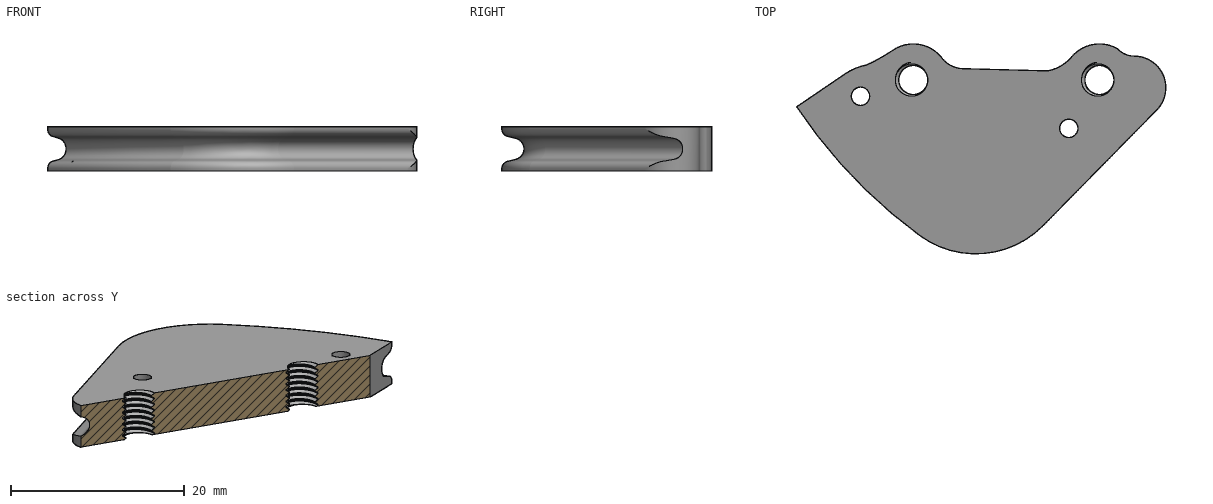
import cadquery as cq
import math

length = 42.5
depth = 24.18
thickness = 5.1

bottom_radius = 10.88
bottom_center = (20.6, bottom_radius)
left_radius = 58.65
left_join_angle = 233.8
nose_radius = 3.65
nose_center = (length - nose_radius, 19.1)

lug_radius = 4.15
lug_y = depth - lug_radius
left_lug = (13.43, lug_y)
right_lug = (34.85, lug_y)
left_lug_start = 40.0
left_lug_end = 124.0
right_lug_start = 60.0
right_lug_end = 140.0
shoulder_start = (5.65, 20.78)
shoulder_middle = (6.9, 21.4)
shoulder_end = (8.07, 21.75)
back_left = (19.1, 21.35)
back_right = (28.9, 21.08)

groove_depth = 2.55
groove_radius = 1.25
lip_land = 0.25
lip_radius = 0.9
wall_slope = 13.0
overrun = 4.25

pin_diameter = 2.1
pin_centers = [(7.35, 18.15), (31.3, 14.45)]
thread_minor = 3.3
thread_major = 4.12
thread_pitch = 0.7
thread_mouth = 0.6
thread_tip = 0.1
thread_start_angle = 180.0


def polar(center, radius, degrees):
    angle = math.radians(degrees)
    return (center[0] + radius * math.cos(angle), center[1] + radius * math.sin(angle))


run_x = nose_center[0] - bottom_center[0]
run_y = nose_center[1] - bottom_center[1]
run_angle = math.degrees(
    math.atan2(run_y, run_x) + math.asin((bottom_radius - nose_radius) / math.hypot(run_x, run_y))
)
normal_angle = run_angle - 90
bottom_end = polar(bottom_center, bottom_radius, normal_angle)
nose_start = polar(nose_center, nose_radius, normal_angle)

left_join = polar(bottom_center, bottom_radius, left_join_angle)
left_center = polar(left_join, left_radius, left_join_angle - 180)
left_tip_angle = 360 - math.degrees(math.acos(-left_center[0] / left_radius))
left_sweep = left_join_angle - left_tip_angle
left_tip = polar(left_center, left_radius, left_tip_angle)
left_middle = polar(left_center, left_radius, left_join_angle - left_sweep / 2)
bottom_middle = (bottom_center[0], 0)


def make_plate():
    return (
        cq.Workplane("XY")
        .moveTo(*left_tip)
        .threePointArc(left_middle, left_join)
        .threePointArc(bottom_middle, bottom_end)
        .lineTo(*nose_start)
        .threePointArc(polar(nose_center, nose_radius, 0), polar(nose_center, nose_radius, 90))
        .tangentArcPoint(polar(right_lug, lug_radius, right_lug_start), relative=False)
        .threePointArc(polar(right_lug, lug_radius, 90), polar(right_lug, lug_radius, right_lug_end))
        .tangentArcPoint(back_right, relative=False)
        .lineTo(*back_left)
        .tangentArcPoint(polar(left_lug, lug_radius, left_lug_start), relative=False)
        .threePointArc(polar(left_lug, lug_radius, 90), polar(left_lug, lug_radius, left_lug_end))
        .tangentArcPoint(shoulder_end, relative=False)
        .threePointArc(shoulder_middle, shoulder_start)
        .close()
        .extrude(thickness)
    )


def groove_section(plane):
    """Groove outline on a plane whose x axis points out of the rim and y axis along Z."""
    lip_edge = thickness / 2 - lip_land
    lip_center = (-lip_radius, lip_edge)
    lip_middle = polar(lip_center, lip_radius, (wall_slope - 90) / 2)
    lip_end = polar(lip_center, lip_radius, wall_slope - 90)
    groove_center = (groove_radius - groove_depth, 0)
    wall_end = polar(groove_center, groove_radius, 90 + wall_slope)

    def mirrored(point):
        return (point[0], -point[1])

    return (
        cq.Workplane(plane)
        .moveTo(overrun, lip_edge)
        .lineTo(0, lip_edge)
        .threePointArc(lip_middle, lip_end)
        .lineTo(*wall_end)
        .threePointArc((-groove_depth, 0), mirrored(wall_end))
        .lineTo(*mirrored(lip_end))
        .threePointArc(mirrored(lip_middle), (0, -lip_edge))
        .lineTo(overrun, -lip_edge)
        .close()
    )


def rim_plane(point, degrees):
    outward = polar((0, 0), 1, degrees)
    along = (outward[1], -outward[0], 0)
    return cq.Plane((point[0], point[1], thickness / 2), (outward[0], outward[1], 0), along)


def groove_around(point, degrees, radius, sweep):
    """Groove tool turned counterclockwise about the arc center, starting at point."""
    section = groove_section(rim_plane(point, degrees))
    return section.revolve(sweep, (-radius, 0), (-radius, 1))


def make_groove():
    end_margin = 2.0
    start_angle = left_tip_angle - end_margin
    start = polar(left_center, left_radius, start_angle)
    left = groove_around(start, start_angle, left_radius, left_sweep + end_margin)
    bottom_sweep = normal_angle + 360 - left_join_angle
    bottom = groove_around(left_join, left_join_angle, bottom_radius, bottom_sweep)
    run_length = math.dist(bottom_end, nose_start) + overrun
    run = groove_section(rim_plane(bottom_end, normal_angle)).extrude(-run_length)
    return [left, bottom, run]


def make_threaded_hole():
    """Tapped-hole tool about the Z axis, closed by helicoids beyond both plate faces."""
    minor = thread_minor / 2
    major = thread_major / 2
    mouth_half = thread_mouth / 2
    tip_half = thread_tip / 2
    corners = [
        (minor, -mouth_half),
        (major, -tip_half),
        (major, tip_half),
        (minor, mouth_half),
        (minor, thread_pitch - mouth_half),
    ]

    def helix_turn(radius, height):
        wire = cq.Wire.makeHelix(thread_pitch, thread_pitch, radius, center=cq.Vector(0, 0, height))
        return wire.Edges()[0]

    turns_to_top = math.floor(thickness / thread_pitch) + 2
    lowest = thickness - turns_to_top * thread_pitch
    turn_count = turns_to_top + 1
    highest = lowest + turn_count * thread_pitch

    faces = []
    for turn in range(turn_count):
        base = lowest + turn * thread_pitch
        for lower, upper in zip(corners, corners[1:]):
            faces.append(cq.Face.makeRuledSurface(
                helix_turn(lower[0], base + lower[1]),
                helix_turn(upper[0], base + upper[1]),
            ))
    for end in (lowest, highest):
        mouth_height = end - mouth_half
        axis_start = cq.Vector(0, 0, mouth_height)
        axis_end = cq.Vector(0, 0, mouth_height + thread_pitch)
        axis = cq.Edge.makeLine(axis_start, axis_end)
        faces.append(cq.Face.makeRuledSurface(axis, helix_turn(minor, mouth_height)))
        outline = [axis_start] + [cq.Vector(r, 0, end + z) for r, z in corners] + [axis_end]
        faces.append(cq.Face.makeFromWires(cq.Wire.makePolygon(outline, close=True)))
    tool = cq.Solid.makeSolid(cq.Shell.makeShell(faces)).fix()
    return cq.Workplane(tool).rotate((0, 0, 0), (0, 0, 1), thread_start_angle)


result = make_plate()
for groove_piece in make_groove():
    result = result.cut(groove_piece)

result = result.cut(
    cq.Workplane("XY").pushPoints(pin_centers).circle(pin_diameter / 2).extrude(thickness)
)
threaded_hole = make_threaded_hole()
for lug_center in (left_lug, right_lug):
    result = result.cut(threaded_hole.translate((*lug_center, 0)))